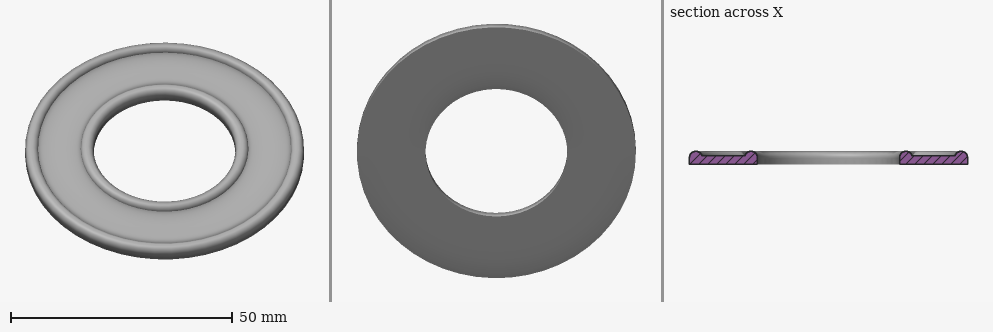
import cadquery as cq

outer_radius = 31.5
hole_radius = 16.0
bead_width = 3.0
rim_wall_height = 1.5
web_thickness = 2.0

bead_radius = bead_width / 2


def beaded_rim(center_radius):
    """Ring with straight side walls and a half-round top."""
    inner_side = center_radius - bead_radius
    outer_side = center_radius + bead_radius
    return (
        cq.Workplane("XZ")
        .moveTo(inner_side, 0)
        .lineTo(inner_side, rim_wall_height)
        .threePointArc(
            (center_radius, rim_wall_height + bead_radius),
            (outer_side, rim_wall_height),
        )
        .lineTo(outer_side, 0)
        .close()
        .revolve(360, (0, 0, 0), (0, 1, 0))
    )


outer_rim_center = outer_radius - bead_radius
inner_rim_center = hole_radius + bead_radius

outer_rim = beaded_rim(outer_rim_center)
inner_rim = beaded_rim(inner_rim_center)

web = cq.Workplane("XY").circle(outer_rim_center).circle(inner_rim_center).extrude(web_thickness)

result = web.union(outer_rim).union(inner_rim).clean()